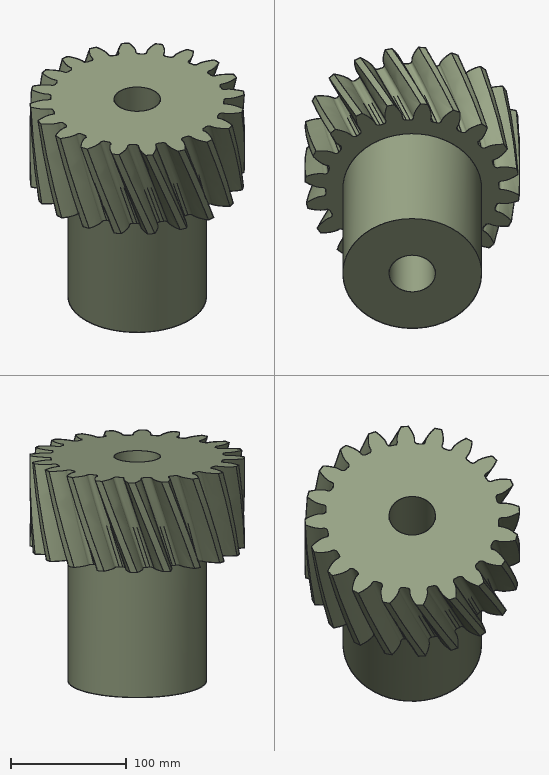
import cadquery as cq
import math

TEETH = 20
NORMAL_MODULE = 8.0
NORMAL_PRESSURE_ANGLE = math.radians(20)
TRANSVERSE_PITCH = 80 / 3
ADDENDUM = NORMAL_MODULE
DEDENDUM = 1.25 * NORMAL_MODULE
ROOT_FILLET = 3.0
FLANK_POINTS = 6

GEAR_WIDTH = 80.0
HUB_DIAMETER = 120.0
HUB_LENGTH = 120.0
BORE_DIAMETER = 40.0

pitch_radius = TEETH * TRANSVERSE_PITCH / (2 * math.pi)
tip_radius = pitch_radius + ADDENDUM
root_radius = pitch_radius - DEDENDUM

helix_angle = math.acos(math.pi * NORMAL_MODULE / TRANSVERSE_PITCH)
pressure_angle = math.atan(math.tan(NORMAL_PRESSURE_ANGLE) / math.cos(helix_angle))
base_radius = pitch_radius * math.cos(pressure_angle)
twist = math.degrees(GEAR_WIDTH * math.tan(helix_angle) / pitch_radius)
tooth_angle = 2 * math.pi / TEETH


def involute_angle(radius):
    """Polar angle of the involute, from its start on the base circle out to a radius."""
    roll = math.sqrt(max((radius / base_radius) ** 2 - 1, 0))
    return roll - math.atan(roll)


base_half_angle = tooth_angle / 4 + involute_angle(pitch_radius)


def polar(radius, angle):
    return (radius * math.cos(angle), radius * math.sin(angle))


def flank_points(centre, side):
    """Involute flank from the base circle to the tip; side is -1 or +1."""
    radial_step = (tip_radius - base_radius) / (FLANK_POINTS - 1)
    radii = [base_radius + i * radial_step for i in range(FLANK_POINTS)]
    return [polar(r, centre + side * (base_half_angle - involute_angle(r))) for r in radii]


def fillet_points(centre, side):
    """Root fillet arc: its end on the radial flank, its middle and its end on the root circle."""
    centre_radius = root_radius + ROOT_FILLET
    offset = math.asin(ROOT_FILLET / centre_radius)
    arc_angle = centre + side * (base_half_angle + offset)
    arc_x, arc_y = polar(centre_radius, arc_angle)
    middle_direction = arc_angle + math.pi + side * (math.pi / 2 - offset) / 2
    middle_x, middle_y = polar(ROOT_FILLET, middle_direction)
    flank_end = polar(centre_radius * math.cos(offset), centre + side * base_half_angle)
    return flank_end, (arc_x + middle_x, arc_y + middle_y), polar(root_radius, arc_angle)


def gear_outline(start_angle):
    """Closed transverse outline whose first tooth is centred on start_angle."""
    first_root = fillet_points(start_angle, -1)[2]
    outline = cq.Workplane("XY", origin=(0, 0, HUB_LENGTH)).moveTo(*first_root)
    for i in range(TEETH):
        centre = start_angle + i * tooth_angle

        flank_end, fillet_middle, _ = fillet_points(centre, -1)
        rising_flank = flank_points(centre, -1)
        outline = outline.threePointArc(fillet_middle, flank_end)
        outline = outline.lineTo(*rising_flank[0])
        outline = outline.spline(rising_flank[1:], includeCurrent=True)

        falling_flank = flank_points(centre, 1)[::-1]
        flank_end, fillet_middle, root_end = fillet_points(centre, 1)
        outline = outline.threePointArc(polar(tip_radius, centre), falling_flank[0])
        outline = outline.spline(falling_flank[1:], includeCurrent=True)
        outline = outline.lineTo(*flank_end)
        outline = outline.threePointArc(fillet_middle, root_end)

        if i < TEETH - 1:
            next_root = fillet_points(centre + tooth_angle, -1)[2]
            outline = outline.threePointArc(polar(root_radius, centre + tooth_angle / 2), next_root)

    gap_middle = polar(root_radius, start_angle - tooth_angle / 2)
    return outline.threePointArc(gap_middle, first_root).close()


gear = gear_outline(math.radians(twist / 2)).twistExtrude(GEAR_WIDTH, -twist)

hub = cq.Workplane("XY").circle(HUB_DIAMETER / 2).extrude(HUB_LENGTH)

bore = cq.Workplane("XY").circle(BORE_DIAMETER / 2).extrude(HUB_LENGTH + GEAR_WIDTH)

result = gear.union(hub).cut(bore)